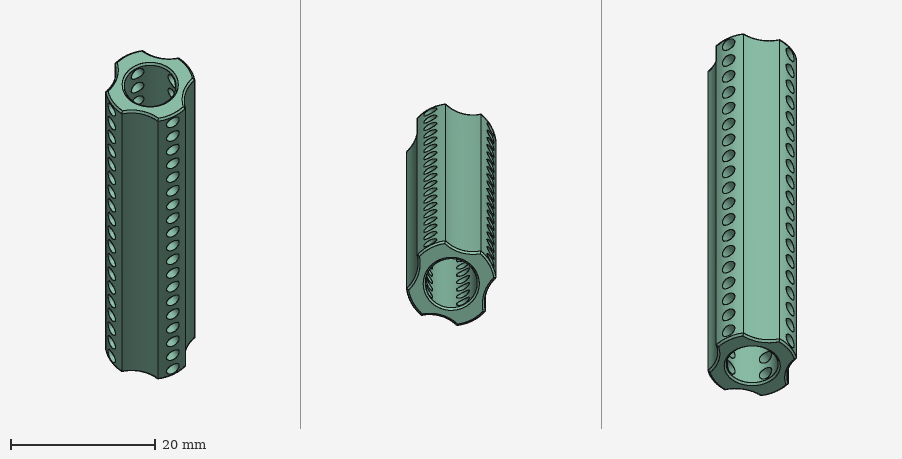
import cadquery as cq
import math

length = 59.4
outer_diameter = 12.5
bore_diameter = 7.2
lobe_count = 4
lobe_width = 4.45
flute_floor_radius = 5.05
end_chamfer = 0.3
hole_diameter = 2.0
holes_per_row = 19

outer_radius = outer_diameter / 2
lobe_spacing = 360 / lobe_count
lobe_half_angle = math.degrees(math.asin(lobe_width / outer_diameter))
hole_pitch = length / holes_per_row


def polar(radius, angle):
    """Point at a radius from the axis and an angle in degrees."""
    return (radius * math.cos(math.radians(angle)), radius * math.sin(math.radians(angle)))


def lobed_bar():
    """Bar with convex lobes on the X and Y axes and concave flutes between them."""
    outline = cq.Workplane("XY").moveTo(*polar(outer_radius, -lobe_half_angle))
    for lobe in range(lobe_count):
        lobe_angle = lobe * lobe_spacing
        lobe_crest = polar(outer_radius, lobe_angle)
        lobe_end = polar(outer_radius, lobe_angle + lobe_half_angle)
        flute_floor = polar(flute_floor_radius, lobe_angle + lobe_spacing / 2)
        next_lobe_start = polar(outer_radius, lobe_angle + lobe_spacing - lobe_half_angle)
        outline = outline.threePointArc(lobe_crest, lobe_end)
        outline = outline.threePointArc(flute_floor, next_lobe_start)
    return outline.close().extrude(length)


def cross_holes(plane):
    """Evenly spaced row of cylinders passing through two opposite lobes."""
    centers = [(0, (index + 0.5) * hole_pitch) for index in range(holes_per_row)]
    row = cq.Workplane(plane).pushPoints(centers).circle(hole_diameter / 2)
    return row.extrude(outer_radius, both=True)


body = lobed_bar().faces(">Z").workplane().hole(bore_diameter)
body = body.faces("<Z or >Z").edges().chamfer(end_chamfer)

for plane in ("XZ", "YZ"):
    body = body.cut(cross_holes(plane))

result = body